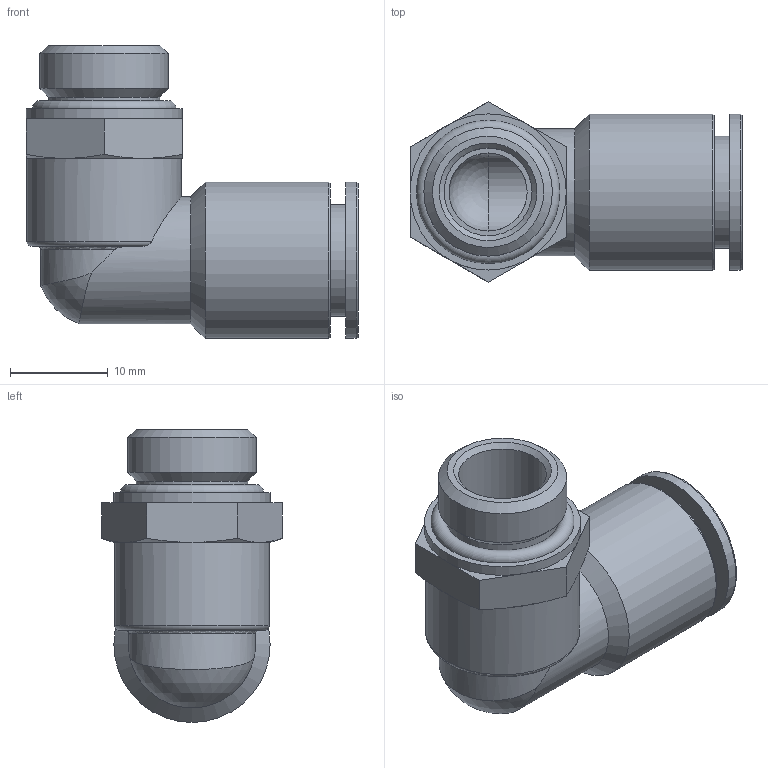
import cadquery as cq
import math


elbow_radius = 13.0 / 2
corner_ball_offset = 0.38

sleeve_radius = 15.8 / 2
sleeve_bottom = 1.44
sleeve_edge_radius = 0.5
neck_fillet = 0.3

across_flats = 16.0
hex_bottom = 10.45
hex_top = 14.5
hex_chamfer_height = 0.4
collar_radius = across_flats / 2
collar_top = 15.55

thread_radius = 13.16 / 2
neck_radius = 11.4 / 2
ring_section_radius = 0.82
ring_centre_radius = neck_radius + ring_section_radius
undercut_top = 16.7
thread_bottom = 17.6
thread_top = 22.0
thread_chamfer_height = 0.8

socket_radius = 16.0 / 2
cone_start = 8.85
socket_end = 23.15
collet_radius = 11.45 / 2
flange_start = 24.75
leg_end = 26.0
rim_chamfer_length = 0.2
rim_chamfer_depth = 0.1

channel_radius = 8.0 / 2
thread_bore_radius = 9.0 / 2
bore_mouth_radius = 10.0 / 2


def revolve_about_z(profile):
    """Turn a closed profile, drawn as (radius, height) in the XZ plane, about Z."""
    return profile.close().revolve(360, (0, 0, 0), (0, 1, 0))


def revolve_about_x(profile):
    """Turn a closed profile, drawn as (length, radius) in the XZ plane, about X."""
    return profile.close().revolve(360, (0, 0, 0), (1, 0, 0))


def make_elbow_corner():
    """Mitred corner of two crossing cylinders, rounded on the outside by a ball."""
    upright = cq.Workplane("XY").circle(elbow_radius).extrude(-elbow_radius)
    level = cq.Workplane("YZ").circle(elbow_radius).extrude(-elbow_radius)
    ball_centre = (-corner_ball_offset, 0, -corner_ball_offset)
    block_size = 2 * elbow_radius
    outer_quadrant = (
        cq.Workplane("XY")
        .box(block_size, 2 * block_size, block_size, centered=(False, True, False))
        .translate((-block_size, 0, -block_size))
        .translate(ball_centre)
    )
    ball = cq.Workplane("XY").sphere(elbow_radius).translate(ball_centre)
    return upright.intersect(level).cut(outer_quadrant.cut(ball))


def make_sleeve():
    """Elbow neck and swivel sleeve below the hexagon."""
    fillet_bottom = sleeve_bottom - neck_fillet
    fillet_outer = elbow_radius + neck_fillet
    return revolve_about_z(
        cq.Workplane("XZ")
        .lineTo(elbow_radius, 0)
        .lineTo(elbow_radius, fillet_bottom)
        .radiusArc((fillet_outer, sleeve_bottom), neck_fillet)
        .lineTo(sleeve_radius - sleeve_edge_radius, sleeve_bottom)
        .radiusArc((sleeve_radius, sleeve_bottom + sleeve_edge_radius), -sleeve_edge_radius)
        .lineTo(sleeve_radius, hex_bottom)
        .lineTo(0, hex_bottom)
    )


def make_hexagon():
    """Hexagon with flats on +X and -X and its lower corners chamfered."""
    corner_radius = across_flats / math.sqrt(3)
    prism = (
        cq.Workplane("XY", origin=(0, 0, hex_bottom))
        .polygon(6, 2 * corner_radius)
        .extrude(hex_top - hex_bottom)
        .rotate((0, 0, 0), (0, 0, 1), 30)
    )
    chamfer_envelope = revolve_about_z(
        cq.Workplane("XZ")
        .moveTo(0, hex_bottom)
        .lineTo(across_flats / 2, hex_bottom)
        .lineTo(corner_radius, hex_bottom + hex_chamfer_height)
        .lineTo(corner_radius, hex_top)
        .lineTo(0, hex_top)
    )
    return prism.intersect(chamfer_envelope)


def make_thread_end():
    """Collar, undercut and plain thread cylinder above the hexagon."""
    return revolve_about_z(
        cq.Workplane("XZ")
        .moveTo(0, hex_top)
        .lineTo(collar_radius, hex_top)
        .lineTo(collar_radius, collar_top)
        .lineTo(neck_radius, collar_top)
        .lineTo(neck_radius, undercut_top)
        .lineTo(thread_radius, thread_bottom)
        .lineTo(thread_radius, thread_top - thread_chamfer_height)
        .lineTo(neck_radius, thread_top)
        .lineTo(0, thread_top)
    )


def make_o_ring():
    """Exposed upper half of the O-ring, closed down to the neck."""
    ring_crown = collar_top + ring_section_radius
    ring_outer = ring_centre_radius + ring_section_radius
    return revolve_about_z(
        cq.Workplane("XZ")
        .moveTo(0, collar_top)
        .lineTo(ring_outer, collar_top)
        .threePointArc((ring_centre_radius, ring_crown), (neck_radius, collar_top))
    )


def make_tube_leg():
    """Arm, conical shoulder, socket, collet stem and release flange along +X."""
    cone_end = cone_start + socket_radius - elbow_radius
    rim_radius = socket_radius - rim_chamfer_depth
    return revolve_about_x(
        cq.Workplane("XZ")
        .lineTo(0, elbow_radius)
        .lineTo(cone_start, elbow_radius)
        .lineTo(cone_end, socket_radius)
        .lineTo(socket_end - rim_chamfer_length, socket_radius)
        .lineTo(socket_end, rim_radius)
        .lineTo(socket_end, collet_radius)
        .lineTo(flange_start, collet_radius)
        .lineTo(flange_start, socket_radius)
        .lineTo(leg_end - rim_chamfer_length, socket_radius)
        .lineTo(leg_end, rim_radius)
        .lineTo(leg_end, 0)
    )


def make_bores():
    """Stepped bore down the threaded leg, ball-ended turn and straight tube bore."""
    thread_bore = revolve_about_z(
        cq.Workplane("XZ")
        .lineTo(channel_radius, 0)
        .lineTo(channel_radius, hex_bottom)
        .lineTo(thread_bore_radius, hex_bottom)
        .lineTo(thread_bore_radius, thread_top - (bore_mouth_radius - thread_bore_radius))
        .lineTo(bore_mouth_radius, thread_top)
        .lineTo(0, thread_top)
    )
    turn = cq.Workplane("XY").sphere(channel_radius)
    tube_bore = cq.Workplane("YZ").circle(channel_radius).extrude(leg_end)
    return [thread_bore, turn, tube_bore]


result = make_elbow_corner()
for section in (make_tube_leg(), make_sleeve(), make_hexagon(), make_thread_end(), make_o_ring()):
    result = result.union(section)
for bore in make_bores():
    result = result.cut(bore)